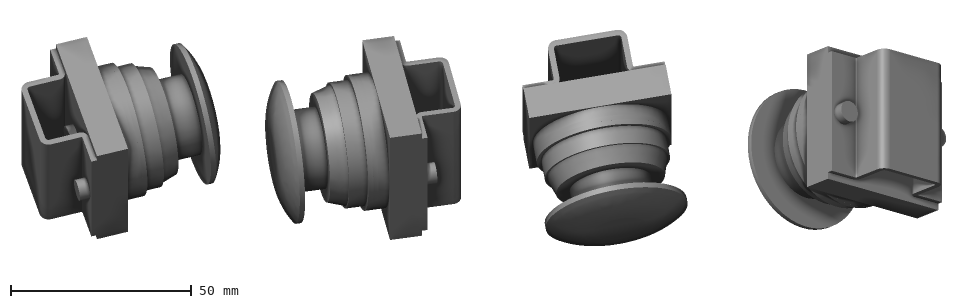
import cadquery as cq
import math


sheet = 1.65
bracket_height = 35.2
flange_rear_y = 11.55
channel_half_width = 11.15
channel_inner_radius = 0.95
flange_inner_radius = 0.35

screw_radius = 3.0
screw_length = 2.95
screw_x = 16

block_width = 40.0
block_height = 39.0
block_depth = 9.0
block_rear_y = flange_rear_y + sheet
block_front_y = block_rear_y + block_depth
boss_radius = 5.0
boss_length = 2.2
ring_radius = 19.0
base_front_y = 25.2

gasket_thickness = 1.45
gasket_front_y = base_front_y + gasket_thickness

flange_front_y = 28.05
collar_radius = 17.65
collar_front_y = 33.25
cone_base_radius = 16.9
cone_tip_radius = 15.3
cone_front_y = 38.15

stem_radius = 11.5
head_radius = block_width / 2
head_rear_y = 46.15
rim_front_y = 47.65
head_front_y = 51.6
crown_flat_radius = 7.75


def cylinder(radius, start_y, end_y, x=0):
    """Cylinder along Y between two Y positions."""
    axis_start = cq.Vector(x, start_y, 0)
    solid = cq.Solid.makeCylinder(radius, end_y - start_y, axis_start, cq.Vector(0, 1, 0))
    return cq.Workplane(obj=solid)


def make_base():
    block = cq.Workplane("XY").box(block_width, block_depth, block_height)
    block = block.translate((0, block_rear_y + block_depth / 2, 0))
    base = (
        block
        .union(cylinder(boss_radius, block_rear_y - boss_length, block_rear_y))
        .union(cylinder(ring_radius, block_front_y, base_front_y))
        .union(make_bracket())
    )
    for x in (-screw_x, screw_x):
        base = base.union(cylinder(screw_radius, flange_rear_y - screw_length, flange_rear_y, x))
    return base.clean()


def make_gasket():
    return cylinder(ring_radius, base_front_y, gasket_front_y)


def make_operator():
    arc_run = head_radius - crown_flat_radius
    arc_drop = head_front_y - rim_front_y
    arc_radius = (arc_run**2 + arc_drop**2) / (2 * arc_drop)
    half_angle = math.asin(arc_run / arc_radius) / 2
    arc_middle = (
        crown_flat_radius + arc_radius * math.sin(half_angle),
        head_front_y - arc_radius * (1 - math.cos(half_angle)),
    )
    return (
        cq.Workplane("XY")
        .moveTo(0, gasket_front_y)
        .lineTo(ring_radius, gasket_front_y)
        .lineTo(ring_radius, flange_front_y)
        .lineTo(collar_radius, flange_front_y)
        .lineTo(collar_radius, collar_front_y)
        .lineTo(cone_base_radius, collar_front_y)
        .lineTo(cone_tip_radius, cone_front_y)
        .lineTo(stem_radius, cone_front_y)
        .lineTo(stem_radius, head_rear_y)
        .lineTo(head_radius, head_rear_y)
        .lineTo(head_radius, rim_front_y)
        .threePointArc(arc_middle, (crown_flat_radius, head_front_y))
        .lineTo(0, head_front_y)
        .close()
        .revolve(360, (0, 0, 0), (0, 1, 0))
    )


def extruded_box(half_width, start_y, end_y):
    """Box over the bracket height, centred on X and Z."""
    depth = end_y - start_y
    box = cq.Workplane("XY").box(2 * half_width, depth, bracket_height)
    return box.translate((0, start_y + depth / 2, 0))


def make_bracket():
    hat = extruded_box(channel_half_width, 0, block_rear_y)
    hat = hat.edges("|Z and <Y").fillet(channel_inner_radius + sheet)
    hat = hat.union(extruded_box(block_width / 2, flange_rear_y, block_rear_y))
    bend_edges = cq.selectors.BoxSelector(
        (-channel_half_width - sheet / 2, flange_rear_y - sheet / 2, -bracket_height),
        (channel_half_width + sheet / 2, flange_rear_y + sheet / 2, bracket_height),
    )
    hat = hat.edges("|Z").edges(bend_edges).fillet(flange_inner_radius)

    cavity = extruded_box(channel_half_width - sheet, sheet, block_rear_y)
    cavity = cavity.edges("|Z and <Y").fillet(channel_inner_radius)
    bracket = hat.cut(cavity)
    mouth_edges = cq.selectors.BoxSelector(
        (-channel_half_width, block_rear_y - sheet / 2, -bracket_height),
        (channel_half_width, block_rear_y + sheet / 2, bracket_height),
    )
    bracket = bracket.edges("|Z").edges(mouth_edges).fillet(flange_inner_radius + sheet)
    return bracket


base = make_base()
gasket = make_gasket()
operator = make_operator()

result = cq.Compound.makeCompound([base.val(), gasket.val(), operator.val()])